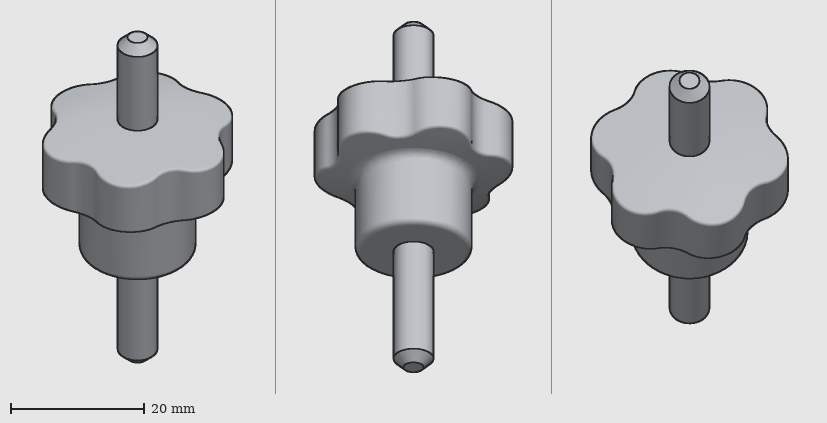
import cadquery as cq
import math

STUD_DIAMETER = 6.0
STUD_LENGTH = 59.0
STUD_CHAMFER = STUD_DIAMETER / 4

HUB_BOTTOM = 20.05
UNDERSIDE_APEX = 31.25
DOME_APEX = 43.95

HUB_DIAMETER = 17.5
DOME_RADIUS = 60.0
UNDERSIDE_RADIUS = 50.0
HUB_EDGE_FILLET = 1.0
NECK_FILLET = 1.5
TOP_EDGE_FILLET = 0.5
BOTTOM_EDGE_FILLET = 0.5

LOBE_COUNT = 6
TIP_RADIUS = 15.0
BLANK_MARGIN = 1.2
LOBE_RADIUS = 5.3
VALLEY_RADIUS = 4.5


def polar(radius, angle):
    """Point at the given distance from the axis, angle in degrees."""
    return (radius * math.cos(math.radians(angle)), radius * math.sin(math.radians(angle)))


def lobed_prism():
    """Prism as tall as the stud, of tangent lobe and valley arcs, with one lobe pointing along +Y."""
    half_pitch = 180 / LOBE_COUNT
    lobe_center = TIP_RADIUS - LOBE_RADIUS
    along = lobe_center * math.cos(math.radians(half_pitch))
    across = lobe_center * math.sin(math.radians(half_pitch))
    valley_center = along + math.sqrt((LOBE_RADIUS + VALLEY_RADIUS) ** 2 - across**2)
    valley_floor = valley_center - VALLEY_RADIUS

    share = LOBE_RADIUS / (LOBE_RADIUS + VALLEY_RADIUS)
    valley_x, valley_y = polar(valley_center, half_pitch)
    joint_x = lobe_center + share * (valley_x - lobe_center)
    joint_y = share * valley_y
    joint_radius = math.hypot(joint_x, joint_y)
    joint_angle = math.degrees(math.atan2(joint_y, joint_x))

    outline = cq.Workplane("XY")
    outline = outline.moveTo(*polar(joint_radius, 90 - joint_angle))
    for index in range(LOBE_COUNT):
        tip_angle = 90 + index * 2 * half_pitch
        valley_angle = tip_angle + half_pitch
        next_tip_angle = tip_angle + 2 * half_pitch
        outline = outline.threePointArc(
            polar(TIP_RADIUS, tip_angle), polar(joint_radius, tip_angle + joint_angle)
        )
        outline = outline.threePointArc(
            polar(valley_floor, valley_angle), polar(joint_radius, next_tip_angle - joint_angle)
        )
    return outline.close().extrude(STUD_LENGTH)


def sphere_rise(sphere_radius, radius):
    """Height of a sphere above its lowest point, at the given distance from the axis."""
    return sphere_radius - math.sqrt(sphere_radius**2 - radius**2)


def lens():
    """Round blank wider than the lobes, with a domed top and an underside that rises outwards."""
    blank_radius = TIP_RADIUS + BLANK_MARGIN
    mid_radius = blank_radius / 2
    underside_mid = (mid_radius, UNDERSIDE_APEX + sphere_rise(UNDERSIDE_RADIUS, mid_radius))
    underside_rim = (blank_radius, UNDERSIDE_APEX + sphere_rise(UNDERSIDE_RADIUS, blank_radius))
    dome_mid = (mid_radius, DOME_APEX - sphere_rise(DOME_RADIUS, mid_radius))
    dome_rim = (blank_radius, DOME_APEX - sphere_rise(DOME_RADIUS, blank_radius))
    profile = (
        cq.Workplane("XZ")
        .moveTo(0, UNDERSIDE_APEX)
        .threePointArc(underside_mid, underside_rim)
        .lineTo(*dome_rim)
        .threePointArc(dome_mid, (0, DOME_APEX))
        .close()
    )
    return profile.revolve(360, (0, 0), (0, 1))


def make_grip():
    """Lobed grip with its top and bottom rims rounded."""
    grip = lobed_prism().intersect(lens())
    grip = grip.faces(">Z").edges("not %LINE").fillet(TOP_EDGE_FILLET)
    return grip.faces("<Z").edges("not %LINE").fillet(BOTTOM_EDGE_FILLET)


def make_knob():
    """Grip and hub in one piece, bored through for the stud."""
    hub_top = (UNDERSIDE_APEX + DOME_APEX) / 2
    hub = (
        cq.Workplane("XY")
        .workplane(offset=HUB_BOTTOM)
        .circle(HUB_DIAMETER / 2)
        .extrude(hub_top - HUB_BOTTOM)
        .faces("<Z")
        .edges()
        .fillet(HUB_EDGE_FILLET)
    )
    knob = make_grip().union(hub)

    neck_height = UNDERSIDE_APEX + sphere_rise(UNDERSIDE_RADIUS, HUB_DIAMETER / 2)
    neck_ring = cq.selectors.NearestToPointSelector((0, 0, neck_height))
    knob = knob.edges(neck_ring).fillet(NECK_FILLET)
    bore = cq.Workplane("XY").circle(STUD_DIAMETER / 2).extrude(STUD_LENGTH)
    return knob.cut(bore)


def make_stud():
    """Plain rod through the knob, chamfered at both ends."""
    stud = cq.Workplane("XY").circle(STUD_DIAMETER / 2).extrude(STUD_LENGTH)
    return stud.faces("<Z or >Z").edges().chamfer(STUD_CHAMFER)


knob = make_knob()
stud = make_stud()
result = cq.Compound.makeCompound([knob.solids().val(), stud.solids().val()])